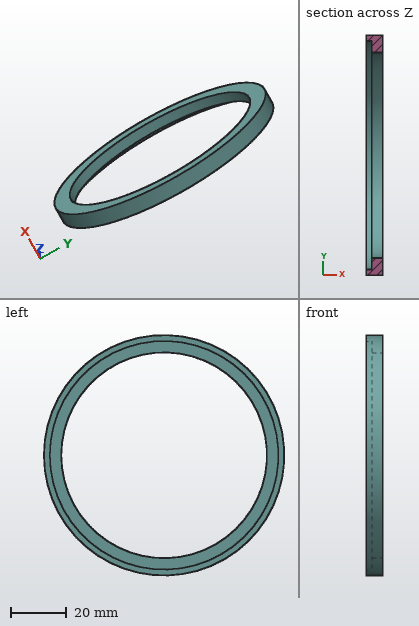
import cadquery as cq

outer_diameter = 86.5
bore_diameter = 73.9
width = 6.0

recess_diameter = 82.2
recess_depth = 2.0


def disc(diameter, start, length):
    """Cylinder along +X whose first face is at X = start."""
    return cq.Workplane("YZ", origin=(start, 0, 0)).circle(diameter / 2).extrude(length)


left_face = -width / 2

body = disc(outer_diameter, left_face, width)
bore = disc(bore_diameter, left_face, width)
recess = disc(recess_diameter, left_face, recess_depth)

result = body.cut(bore).cut(recess)